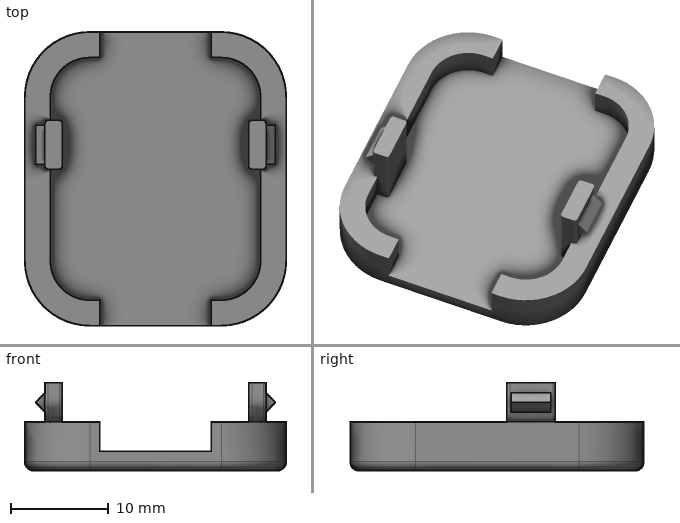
import cadquery as cq

length = 30.0
width = 26.7
wall_height = 5.0
floor_thickness = 2.0
wall_thickness = 2.6
corner_radius = 6.65
inner_radius = corner_radius - wall_thickness
bottom_round = 1.0
gap_width = 11.35

clip_top = 9.0
clip_thickness = 1.77
clip_width = 4.98
clip_outer_x = 11.28
clip_center_y = 3.48
clip_edge_round = 0.3
barb_reach = 0.95
barb_height = 1.98
barb_width = 4.02
barb_center_z = 7.0


def rounded_block(size_x, size_y, height, radius):
    """Block standing on Z = 0 with rounded vertical edges."""
    block = cq.Workplane("XY").box(size_x, size_y, height, centered=(True, True, False))
    return block.edges("|Z").fillet(radius)


def make_tray():
    """Rounded tray whose two end walls are open in the middle."""
    body = rounded_block(width, length, wall_height, corner_radius)
    body = body.faces("<Z").edges().fillet(bottom_round)
    wall_rise = wall_height - floor_thickness
    cavity = rounded_block(
        width - 2 * wall_thickness, length - 2 * wall_thickness, wall_rise, inner_radius
    )
    gap = cq.Workplane("XY").box(gap_width, length, wall_rise, centered=(True, True, False))
    return body.cut(cavity.union(gap).translate((0, 0, floor_thickness)))


def make_clip():
    """Upright clip on the +X side with a triangular barb facing outwards."""
    post = rounded_block(clip_thickness, clip_width, clip_top - floor_thickness, clip_edge_round)
    post = post.translate((clip_outer_x - clip_thickness / 2, clip_center_y, floor_thickness))
    root_x = clip_outer_x - clip_thickness / 2
    barb = (
        cq.Workplane("XZ")
        .moveTo(root_x, barb_center_z - barb_height / 2)
        .lineTo(clip_outer_x, barb_center_z - barb_height / 2)
        .lineTo(clip_outer_x + barb_reach, barb_center_z)
        .lineTo(clip_outer_x, barb_center_z + barb_height / 2)
        .lineTo(root_x, barb_center_z + barb_height / 2)
        .close()
        .extrude(barb_width / 2, both=True)
        .translate((0, clip_center_y, 0))
    )
    return post.union(barb)


clip = make_clip()
result = make_tray().union(clip).union(clip.mirror("YZ"))